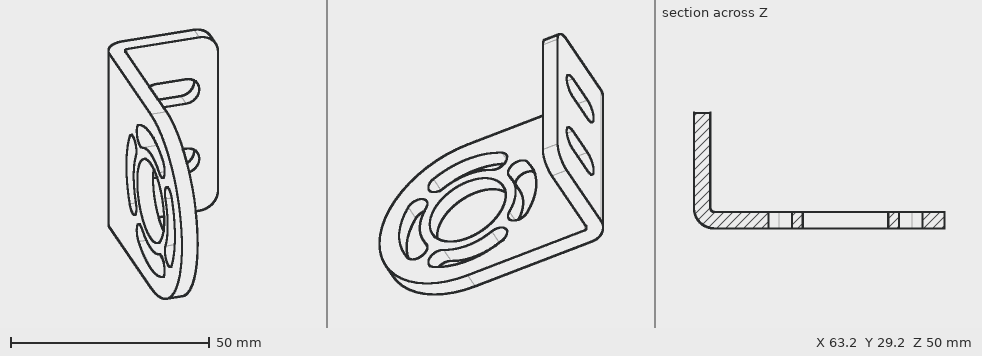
import cadquery as cq
import math

thickness = 4.2
inner_bend_radius = 1.0
outer_bend_radius = inner_bend_radius + thickness

length = 63.2
depth = 29.2
height = 50.0

end_radius = height / 2
bore_x = length - end_radius
bore_diameter = 21.5
arc_slot_count = 4
arc_slot_pitch_radius = 16.5
arc_slot_width = 5.8
arc_slot_half_angle = 30.0

corner_radius = 5.0
slot_length = 15.0
slot_width = 7.0
slot_spacing = 20.0
slot_edge_margin = 5.0


def bent_sheet():
    """L-shaped sheet, outer bend corner at the X-Y origin, centred on Z."""
    body = (
        cq.Workplane("XY", origin=(0, 0, -height / 2))
        .polyline([
            (0, 0),
            (length, 0),
            (length, thickness),
            (thickness, thickness),
            (thickness, depth),
            (0, depth),
        ])
        .close()
        .extrude(height)
    )
    inner_corner = cq.NearestToPointSelector((thickness, thickness, 0))
    outer_corner = cq.NearestToPointSelector((0, 0, 0))
    body = body.edges("|Z").edges(inner_corner).fillet(inner_bend_radius)
    return body.edges("|Z").edges(outer_corner).fillet(outer_bend_radius)


def rounded_envelope():
    """Block with the plate's round end, running through the full depth."""
    return (
        cq.Workplane("XZ")
        .moveTo(0, -height / 2)
        .lineTo(bore_x, -height / 2)
        .threePointArc((length, 0), (bore_x, height / 2))
        .lineTo(0, height / 2)
        .close()
        .extrude(-depth)
    )


def bore():
    return (
        cq.Workplane("XZ")
        .center(bore_x, 0)
        .circle(bore_diameter / 2)
        .extrude(-thickness)
    )


def arc_slot(middle_angle):
    """Round-ended slot following the pitch circle about the bore."""
    def at(radius, offset_angle):
        angle = math.radians(middle_angle + offset_angle)
        return (radius * math.cos(angle), radius * math.sin(angle))

    inner_radius = arc_slot_pitch_radius - arc_slot_width / 2
    outer_radius = arc_slot_pitch_radius + arc_slot_width / 2
    tip_radius = math.hypot(arc_slot_pitch_radius, arc_slot_width / 2)
    tip_turn = math.degrees(math.atan2(arc_slot_width / 2, arc_slot_pitch_radius))
    tip_angle = arc_slot_half_angle + tip_turn

    return (
        cq.Workplane("XZ")
        .center(bore_x, 0)
        .moveTo(*at(outer_radius, -arc_slot_half_angle))
        .threePointArc(at(outer_radius, 0), at(outer_radius, arc_slot_half_angle))
        .threePointArc(at(tip_radius, tip_angle), at(inner_radius, arc_slot_half_angle))
        .threePointArc(at(inner_radius, 0), at(inner_radius, -arc_slot_half_angle))
        .threePointArc(at(tip_radius, -tip_angle), at(outer_radius, -arc_slot_half_angle))
        .close()
        .extrude(-thickness)
    )


def flange_slots():
    slot_y = depth - slot_edge_margin - slot_length / 2
    return (
        cq.Workplane("YZ")
        .pushPoints([(slot_y, -slot_spacing / 2), (slot_y, slot_spacing / 2)])
        .slot2D(slot_length, slot_width)
        .extrude(thickness)
    )


bracket = bent_sheet().edges("|X and >Y").fillet(corner_radius)
bracket = bracket.intersect(rounded_envelope())
bracket = bracket.cut(bore())
for index in range(arc_slot_count):
    bracket = bracket.cut(arc_slot(index * 360 / arc_slot_count))
result = bracket.cut(flange_slots())